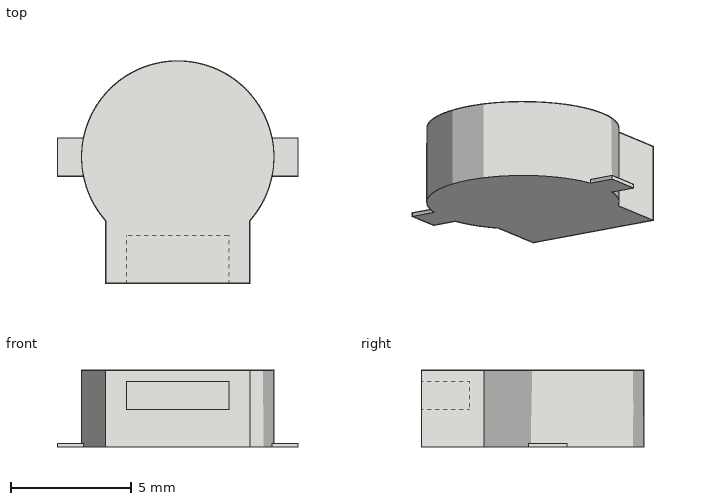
import cadquery as cq

housing_diameter = 8.0
housing_height = 3.2

spout_width = 6.0
spout_reach = 5.25

port_width = 4.275
port_height = 1.15
port_top_gap = 0.48
port_depth = 2.0

tab_span = 10.0
tab_width = 1.6
tab_thickness = 0.16


def make_housing():
    """Cylinder merged with the full-height spout."""
    cylinder = cq.Workplane("XY").circle(housing_diameter / 2).extrude(housing_height)
    spout = cq.Workplane("XY").box(
        spout_width, spout_reach, housing_height, centered=(True, False, False)
    )
    return cylinder.union(spout.translate((0, -spout_reach, 0)))


def make_port():
    """Blind rectangular pocket that opens through the spout end face."""
    port = cq.Workplane("XY").box(
        port_width, port_depth, port_height, centered=(True, False, False)
    )
    port_floor = housing_height - port_top_gap - port_height
    return port.translate((0, -spout_reach, port_floor))


def make_tabs():
    """One strip through the housing whose two ends form the tabs."""
    return cq.Workplane("XY").box(
        tab_span, tab_width, tab_thickness, centered=(True, True, False)
    )


result = make_housing().cut(make_port()).union(make_tabs())